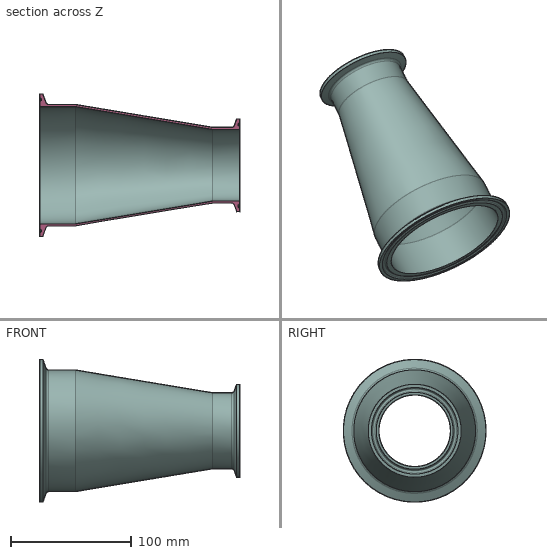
import cadquery as cq
import math

LENGTH = 167.0
RIM_WIDTH = 2.8
FLANGE_ANGLE = math.radians(20)
NECK_FILLET = 2.2

LARGE_FLANGE_RADIUS = 119.0 / 2
LARGE_TUBE_RADIUS = 101.5 / 2
LARGE_BORE_RADIUS = 97.5 / 2
LARGE_TUBE_LENGTH = 29.9
SMALL_FLANGE_RADIUS = 77.5 / 2
SMALL_TUBE_RADIUS = 63.5 / 2
SMALL_BORE_RADIUS = 59.5 / 2
SMALL_TUBE_LENGTH = 22.7

GROOVE_INSET = 2.7
GROOVE_WIDTH = 4.0
GROOVE_WALL_RUN = 1.0
GROOVE_WALL_DEPTH = 1.0
GROOVE_DEPTH = 1.5


def revolve_about_x(profile):
    """Turn a closed (axial, radial) profile around the X axis."""
    return profile.close().revolve(360, (0, 0, 0), (1, 0, 0))


def taper(large_radius, small_radius):
    """Solid straight cone between the two tubes."""
    start = LARGE_TUBE_LENGTH
    end = LENGTH - SMALL_TUBE_LENGTH
    profile = (
        cq.Workplane("XY")
        .moveTo(start, 0)
        .lineTo(start, large_radius)
        .lineTo(end, small_radius)
        .lineTo(end, 0)
    )
    return revolve_about_x(profile)


def ferrule(flange_radius, tube_radius, tube_length):
    """Solid clamp ferrule with its face at X = 0 and its tube toward +X."""
    neck_x = RIM_WIDTH + (flange_radius - tube_radius) * math.tan(FLANGE_ANGLE)
    tangent = NECK_FILLET * math.tan((math.pi / 2 - FLANGE_ANGLE) / 2)
    slope_end = (neck_x - tangent * math.sin(FLANGE_ANGLE), tube_radius + tangent * math.cos(FLANGE_ANGLE))
    centre = (neck_x + tangent, tube_radius + NECK_FILLET)
    mid_angle = (math.pi / 2 + FLANGE_ANGLE) / 2
    fillet_mid = (centre[0] - NECK_FILLET * math.cos(mid_angle), centre[1] - NECK_FILLET * math.sin(mid_angle))
    profile = (
        cq.Workplane("XY")
        .lineTo(0, flange_radius)
        .lineTo(RIM_WIDTH, flange_radius)
        .lineTo(*slope_end)
        .threePointArc(fillet_mid, (neck_x + tangent, tube_radius))
        .lineTo(tube_length, tube_radius)
        .lineTo(tube_length, 0)
    )
    return revolve_about_x(profile).cut(gasket_groove(flange_radius))


def gasket_groove(flange_radius):
    """Ring with sloping walls and a rounded floor, cut into the face at X = 0."""
    outer = flange_radius - GROOVE_INSET
    inner = outer - GROOVE_WIDTH
    profile = (
        cq.Workplane("XY")
        .moveTo(0, outer)
        .lineTo(GROOVE_WALL_DEPTH, outer - GROOVE_WALL_RUN)
        .threePointArc((GROOVE_DEPTH, (outer + inner) / 2), (GROOVE_WALL_DEPTH, inner + GROOVE_WALL_RUN))
        .lineTo(0, inner)
    )
    return revolve_about_x(profile)


def bore(start, length, radius):
    """Cylinder along X."""
    return cq.Workplane("YZ", origin=(start, 0, 0)).circle(radius).extrude(length)


large_end = ferrule(LARGE_FLANGE_RADIUS, LARGE_TUBE_RADIUS, LARGE_TUBE_LENGTH)
small_end = (
    ferrule(SMALL_FLANGE_RADIUS, SMALL_TUBE_RADIUS, SMALL_TUBE_LENGTH)
    .mirror("YZ")
    .translate((LENGTH, 0, 0))
)
body = large_end.union(taper(LARGE_TUBE_RADIUS, SMALL_TUBE_RADIUS)).union(small_end)

passage = (
    bore(0, LARGE_TUBE_LENGTH, LARGE_BORE_RADIUS)
    .union(taper(LARGE_BORE_RADIUS, SMALL_BORE_RADIUS))
    .union(bore(LENGTH - SMALL_TUBE_LENGTH, SMALL_TUBE_LENGTH, SMALL_BORE_RADIUS))
)

result = body.cut(passage)